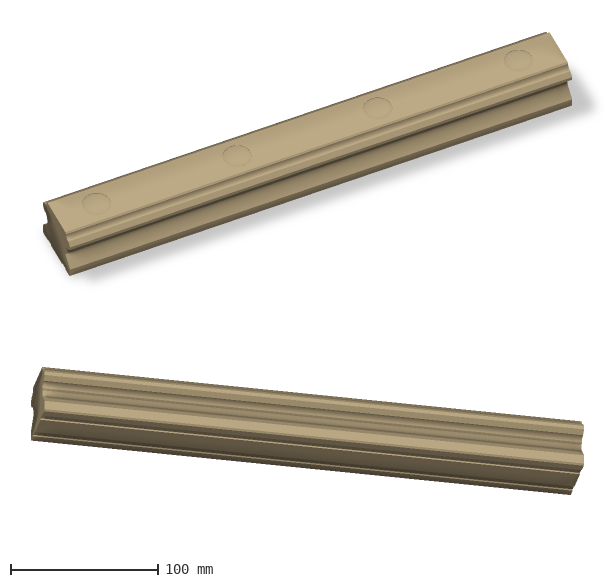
import cadquery as cq

length = 375.0
width = 45.0
height = 38.0
half_width = width / 2

head_mid_z = 29.0
top_half_width = 14.5
head_half_height = height - head_mid_z
head_chamfer = 1.0
nose_flat_half_height = 1.3
nose_chamfer = 3.0
nose_half_height = nose_flat_half_height + nose_chamfer
groove_mouth_x = half_width - nose_chamfer
groove_top_x = top_half_width + head_chamfer
groove_top = head_half_height - head_chamfer
arc_bulge = 0.95

foot_side_top = 7.5
waist_bottom_z = foot_side_top + half_width - top_half_width
foot_chamfer = 1.0

relief_width = 6.0
relief_depth = 1.0
relief_center_x = 12.0

cap_count = 4
cap_pitch = 105.0
cap_diameter = 20.0
cap_recess = 0.5


def head_points(side):
    """Corners and mid arc point of one half of the head; side is +1 above mid height, -1 below."""
    local = [
        (top_half_width, head_half_height),
        (groove_top_x, groove_top),
        ((groove_top_x + groove_mouth_x) / 2 - arc_bulge, (groove_top + nose_half_height) / 2 - arc_bulge),
        (groove_mouth_x, nose_half_height),
        (half_width, nose_flat_half_height),
    ]
    return [(x, head_mid_z + side * z) for x, z in local]


def rail_half():
    """Half of the rail on the +X side of the symmetry plane."""
    top, groove_start, groove_mid, groove_end, nose = head_points(1)
    low_waist, low_start, low_mid, low_end, low_nose = head_points(-1)
    profile = (
        cq.Workplane("XZ", origin=(0, length / 2, 0))
        .moveTo(0, 0)
        .lineTo(0, height)
        .lineTo(*top)
        .lineTo(*groove_start)
        .threePointArc(groove_mid, groove_end)
        .lineTo(*nose)
        .lineTo(*low_nose)
        .lineTo(*low_end)
        .threePointArc(low_mid, low_start)
        .lineTo(*low_waist)
        .lineTo(top_half_width, waist_bottom_z)
        .lineTo(half_width, foot_side_top)
        .lineTo(half_width, foot_chamfer)
        .lineTo(half_width - foot_chamfer, 0)
        .close()
    )
    half = profile.extrude(length)
    relief = cq.Workplane("XY").box(relief_width, length, 2 * relief_depth)
    return half.cut(relief.translate((relief_center_x, 0, 0)))


def cap_recesses():
    """Shallow round recesses in a row along the top face."""
    return (
        cq.Workplane("XY", origin=(0, 0, height - cap_recess))
        .rarray(3.8, cap_pitch, 1, cap_count)
        .circle(cap_diameter / 2)
        .extrude(cap_recess)
    )


half = rail_half()
rail = half.union(half.mirror("YZ"))
result = rail.cut(cap_recesses())